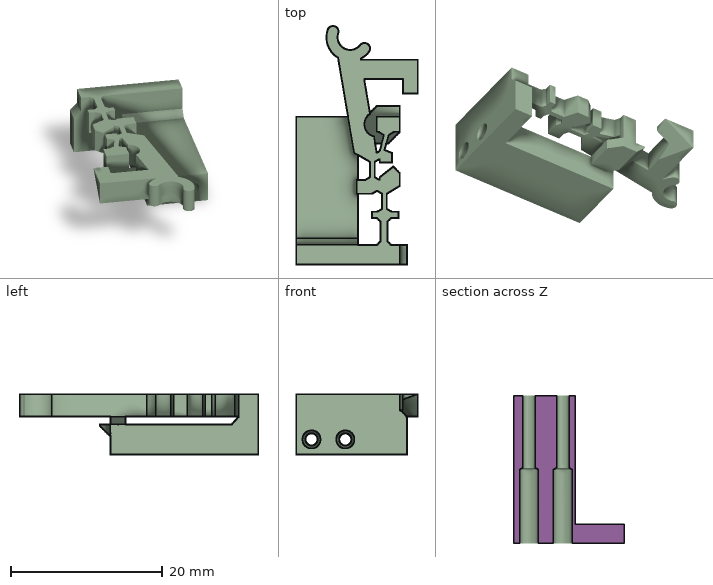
import cadquery as cq
import math

total_height = 8.0
layer_thickness = 3.0
layer_bottom = total_height - layer_thickness
base_height = 4.0

base_width = 8.18
base_length = 19.55
wall_width = 14.65
wall_thickness = 2.62
wall_notch = 0.96
gusset_run = 0.9

hole_x = 2.02
hole_count = 2
hole_pitch = 4.47
hole_z = 2.0
bore_diameter = 2.4
exit_diameter = 1.58
bore_depth = base_length / 2
seat_half_angle = math.radians(59)

root_x = 11.6
root_width = 0.95
root_flare = 0.47
neck_width = 0.65
neck_flare = 0.65
flare_angle = math.radians(30)
flare_rise = neck_flare * math.tan(flare_angle)
lower_neck_x = 11.66
upper_neck_x = 10.06

crossbar_left = 9.99
crossbar_right = 13.53
crossbar_bottom = 6.15
crossbar_top = 7.0

right_limit = 13.71
rocker_left = 7.98
rocker_bottom = 9.37
rocker_top = 11.19
rocker_peak = (12.84, 12.98)
rocker_shoulder_bottom = 10.4
rocker_shoulder_top = 12.06
finger_left = upper_neck_x + neck_width / 2 + neck_flare
finger_base = rocker_top + flare_rise

arm_width = 3.0
arm_foot_x = 7.65
arm_foot_y = 14.78
arm_tilt = math.radians(9.65)
foot_bottom = 13.58
toe_right = 12.67
toe_bottom = 13.48
toe_top = 14.76

bar_bottom = 24.52
bar_top = 27.08
bar_right = 16.07
hook_left = 14.1
hook_tip = 22.6
hook_slope_x = 0.37
hook_slope_y = -0.7

cup_x = 7.13
cup_y = 30.04
cup_mid_radius = 2.4
cup_thickness = 1.5
cup_left_end = 161.5
cup_right_end = 322

pad_left = 10.65
pad_bottom = 17.55
pad_top = base_length
pad_neck_left = (11.03, 15.03)
pad_neck_right = (11.69, 15.17)
pad_neck_top = 17.13
pad_neck_tilt = math.radians(15)
clearance_radius = 1.64
ledge_front = 16.0
ledge_back = 20.97
ledge_thickness = 1.5
ledge_lip = 0.2
ledge_corner = pad_bottom - ledge_front


def prism(points, bottom, top):
    return cq.Workplane("XY", origin=(0, 0, bottom)).polyline(points).close().extrude(top - bottom)


def layer(points):
    return prism(points, layer_bottom, total_height)


def box(x0, x1, y0, y1, z0, z1):
    return cq.Workplane("XY").box(x1 - x0, y1 - y0, z1 - z0, centered=False).translate((x0, y0, z0))


def neck(x, width, y0, y1, run, rise):
    """Upright web between y0 and y1 whose four corners flare by run x rise."""
    half = width / 2
    wide = half + run
    right = [(wide, y0), (half, y0 + rise), (half, y1 - rise), (wide, y1)]
    left = [(-dx, y) for dx, y in reversed(right)]
    return layer([(x + dx, y) for dx, y in right + left])


def make_base():
    base = box(0, base_width, 0, base_length, 0, base_height)
    wall = (
        cq.Workplane("XZ")
        .polyline([
            (0, 0),
            (wall_width, 0),
            (wall_width, layer_bottom),
            (wall_width - wall_notch, layer_bottom + wall_notch),
            (wall_width - wall_notch, total_height),
            (0, total_height),
        ])
        .close()
        .extrude(-wall_thickness)
    )
    gusset = (
        cq.Workplane("YZ")
        .polyline([
            (wall_thickness, base_height),
            (wall_thickness + gusset_run, base_height),
            (wall_thickness, layer_bottom),
        ])
        .close()
        .extrude(base_width)
    )
    return base.union(wall).union(gusset)


def make_hole(x):
    """Wide bore from the front, a conical seat, then a narrow bore out of the back."""
    wide = bore_diameter / 2
    narrow = exit_diameter / 2
    seat_end = bore_depth + (wide - narrow) / math.tan(seat_half_angle)
    half_profile = [
        (0, 0),
        (wide, 0),
        (wide, bore_depth),
        (narrow, seat_end),
        (narrow, base_length),
        (0, base_length),
    ]
    hole = cq.Workplane("XY").polyline(half_profile).close().revolve(360, (0, 0), (0, 1))
    return hole.translate((x, 0, hole_z))


def make_ledge():
    back_run = pad_left - base_width
    ledge = prism(
        [
            (base_width, ledge_front),
            (right_limit - ledge_corner, ledge_front),
            (right_limit, pad_bottom),
            (right_limit, ledge_back),
            (pad_left, ledge_back),
            (base_width, ledge_back - back_run),
        ],
        base_height - ledge_thickness,
        base_height,
    )
    slope_rise = ledge_thickness - ledge_lip
    underside_slope = (
        cq.Workplane("YZ", origin=(base_width, 0, base_height - ledge_thickness))
        .polyline([(ledge_back - slope_rise, 0), (ledge_back, 0), (ledge_back, slope_rise)])
        .close()
        .extrude(right_limit - base_width)
    )
    return ledge.cut(underside_slope)


def make_pad():
    pad = box(pad_left, right_limit, pad_bottom, pad_top, base_height, total_height)

    def neck_side(start, y):
        return (start[0] + (y - start[1]) * math.tan(pad_neck_tilt), y)

    left_top = neck_side(pad_neck_left, pad_neck_top)
    right_top = neck_side(pad_neck_right, pad_neck_top)
    flare_run = (pad_bottom - pad_neck_top) / math.tan(flare_angle)
    slanted_neck = layer([
        pad_neck_left,
        pad_neck_right,
        right_top,
        (right_top[0] + flare_run, pad_bottom),
        (left_top[0] - flare_run, pad_bottom),
        left_top,
    ])
    return pad.union(slanted_neck)


def make_links():
    root = neck(root_x, root_width, wall_thickness, crossbar_bottom, root_flare, root_flare)
    crossbar = box(
        crossbar_left, crossbar_right, crossbar_bottom, crossbar_top, layer_bottom, total_height
    )
    lower_neck_top = rocker_bottom + flare_rise
    lower_neck = neck(
        lower_neck_x, neck_width, crossbar_top, lower_neck_top, neck_flare, flare_rise
    )
    flare_reach = neck_width / 2 + neck_flare
    rocker = layer([
        (rocker_left, rocker_bottom),
        (lower_neck_x - flare_reach - neck_flare, rocker_bottom),
        (lower_neck_x - flare_reach, lower_neck_top),
        (lower_neck_x + flare_reach, lower_neck_top),
        (right_limit, rocker_shoulder_bottom),
        (right_limit, rocker_shoulder_top),
        rocker_peak,
        (finger_left, finger_base),
        (finger_left, rocker_top),
        (rocker_left, rocker_top),
    ])
    upper_neck = neck(
        upper_neck_x, neck_width, rocker_top, foot_bottom + flare_rise, neck_flare, flare_rise
    )
    return root.union(crossbar).union(lower_neck).union(rocker).union(upper_neck)


def make_cup():
    def on_ring(radius, angle):
        turn = math.radians(angle)
        return (cup_x + radius * math.cos(turn), cup_y + radius * math.sin(turn))

    inner = cup_mid_radius - cup_thickness / 2
    outer = cup_mid_radius + cup_thickness / 2
    middle = (cup_left_end + cup_right_end) / 2
    cup = (
        cq.Workplane("XY", origin=(0, 0, layer_bottom))
        .moveTo(*on_ring(outer, cup_left_end))
        .threePointArc(on_ring(outer, middle), on_ring(outer, cup_right_end))
        .lineTo(*on_ring(inner, cup_right_end))
        .threePointArc(on_ring(inner, middle), on_ring(inner, cup_left_end))
        .close()
        .extrude(layer_thickness)
    )
    for angle in (cup_left_end, cup_right_end):
        x, y = on_ring(cup_mid_radius, angle)
        round_end = cq.Workplane("XY", origin=(x, y, layer_bottom)).circle(cup_thickness / 2)
        cup = cup.union(round_end.extrude(layer_thickness))
    return cup


def make_hook_bar():
    arm_lean = (bar_top - arm_foot_y) * math.tan(arm_tilt)
    bar_left = arm_foot_x + arm_width / 2 - arm_lean
    bar = layer([
        (bar_left, bar_bottom),
        (hook_left, bar_bottom),
        (hook_left, hook_tip),
        (bar_right, hook_tip),
        (bar_right, bar_top),
        (bar_left, bar_top),
    ])

    def underside(x, y):
        return total_height + hook_slope_x * (x - bar_right) + hook_slope_y * (y - hook_tip)

    def section(x):
        """Triangle under the sloped plane at x, closed at the layer's lower face."""
        run = (underside(x, hook_tip) - layer_bottom) / -hook_slope_y
        return [
            (hook_tip, layer_bottom),
            (hook_tip + run, layer_bottom),
            (hook_tip, underside(x, hook_tip)),
        ]

    start_x = arm_foot_x + arm_width
    under_hook = (
        cq.Workplane("YZ", origin=(start_x, 0, 0))
        .polyline(section(start_x))
        .close()
        .workplane(offset=bar_right - start_x)
        .polyline(section(bar_right))
        .close()
        .loft(ruled=True)
    )
    return bar.cut(under_hook)


def make_arm():
    arm_top = cup_y - cup_mid_radius
    lean = (arm_top - arm_foot_y) * math.tan(arm_tilt)
    arm = layer([
        (arm_foot_x, arm_foot_y),
        (arm_foot_x + arm_width, arm_foot_y),
        (arm_foot_x + arm_width - lean, arm_top),
        (arm_foot_x - lean, arm_top),
    ])
    foot = layer([
        (arm_foot_x, arm_foot_y),
        (upper_neck_x - neck_width / 2, foot_bottom),
        (upper_neck_x + neck_width / 2, foot_bottom),
        (finger_left, foot_bottom + flare_rise),
        (finger_left, toe_bottom),
        (toe_right, toe_bottom),
        (toe_right, toe_top),
        pad_neck_right,
        pad_neck_left,
        (arm_foot_x + arm_width, arm_foot_y),
    ])
    pad_clearance = (
        cq.Workplane("XY", origin=(pad_left, (pad_bottom + pad_top) / 2, layer_bottom))
        .circle(clearance_radius)
        .extrude(layer_thickness)
    )
    return arm.cut(pad_clearance).union(foot).union(make_hook_bar()).union(make_cup())


result = make_base()
for hole_number in range(hole_count):
    result = result.cut(make_hole(hole_x + hole_number * hole_pitch))
result = result.union(make_ledge()).union(make_pad()).union(make_links()).union(make_arm())